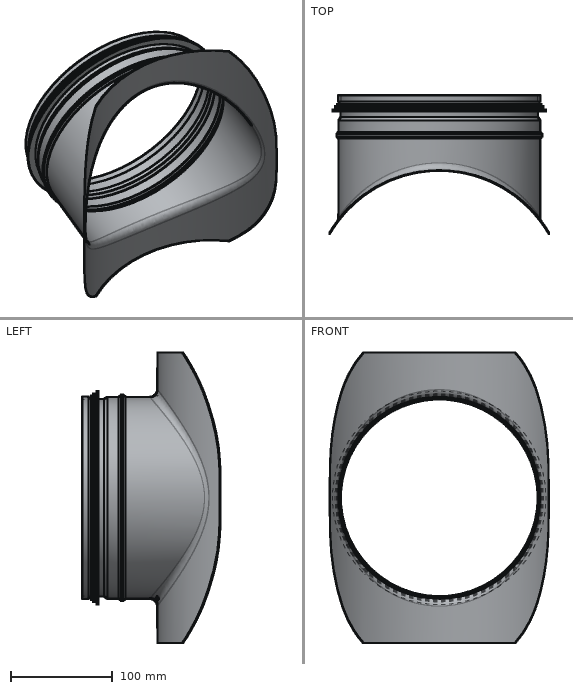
import cadquery as cq
import math

SHEET = 0.5

PLATE_HEIGHT = 285.0
PLATE_WIDTH = 215.0
PLATE_END_WIDTH = 148.8
PIPE_RADIUS = 124.3
PIPE_HALF_LENGTH = 148.2
SIDE_EDGE_POINTS = [(105.7, 55.5), (101.0, 85.5), (92.5, 113.0)]

TOTAL_DEPTH = 136.2
TUBE_RADIUS = 198.0 / 2
NECK_RADIUS = 194.0 / 2
COLLAR_RADIUS = 199.0 / 2
COLLAR_LENGTH = 6.5
COLLAR_CHAMFER = 0.9
NECK_END = 21.7
CONE_END = 25.0
BEAD_START = 36.2
BEAD_END = 43.0
BEAD_RADIUS = 202.4 / 2
BEAD_CREST = 2.0
FLARE_RADIUS = 7.0
SELECTION_MARGIN = 2.8

GASKET_RADIUS = 197.0 / 2
LIP_STEP_RADIUS = 100.3
LIP_STEP_START = 8.8
LIP_RADIUS = 204.3 / 2
LIP_START = 10.8
LIP_END = 12.3
FLANGE_RADIUS = 209.5 / 2
FLANGE_START = 14.5
GASKET_END = 16.5

END_Y = math.sqrt(PIPE_RADIUS**2 - (PLATE_WIDTH / 2)**2) + TOTAL_DEPTH


def revolve_profile(points):
    """Revolve (radius, distance from free end) points about the spigot axis."""
    profile = [(radius, END_Y - distance) for radius, distance in points]
    return cq.Workplane("XY").polyline(profile).close().revolve(360, (0, 0, 0), (0, 1, 0))


def tube_wall(inset):
    """Stepped wall of neck, cone, tube and bead, moved inward by inset, down to the pipe axis."""
    bead_middle = (BEAD_START + BEAD_END) / 2
    wall = [
        (NECK_RADIUS, NECK_END),
        (TUBE_RADIUS, CONE_END),
        (TUBE_RADIUS, BEAD_START),
        (BEAD_RADIUS, bead_middle - BEAD_CREST / 2),
        (BEAD_RADIUS, bead_middle + BEAD_CREST / 2),
        (TUBE_RADIUS, BEAD_END),
        (TUBE_RADIUS, END_Y),
    ]
    return [(radius - inset, distance) for radius, distance in wall]


def filled_branch(pipe_radius, inset, end_points, flare_radius):
    """Pipe and spigot as one filled shape, with the edge where they meet rounded."""
    pipe = cq.Workplane("XY").circle(pipe_radius).extrude(PIPE_HALF_LENGTH, both=True)
    spigot = revolve_profile([(0, 0), *end_points, *tube_wall(inset), (0, END_Y)])
    low_y = math.sqrt(pipe_radius**2 - TUBE_RADIUS**2) - SELECTION_MARGIN
    meeting_zone = cq.selectors.BoxSelector(
        (-PIPE_RADIUS, low_y, -PIPE_RADIUS),
        (PIPE_RADIUS, pipe_radius + SELECTION_MARGIN, PIPE_RADIUS),
        boundingbox=True,
    )
    return pipe.union(spigot).edges(meeting_zone).fillet(flare_radius)


def plate_outline():
    """Prism along Y with straight ends and curved sides that bounds the plate."""
    half_height = PLATE_HEIGHT / 2
    half_end = PLATE_END_WIDTH / 2
    upper = [(half_end, half_height), *reversed(SIDE_EDGE_POINTS)]
    lower = [(x, -z) for x, z in reversed(upper)]
    right_side = [*upper, (PLATE_WIDTH / 2, 0), *lower]
    left_side = [(-x, -z) for x, z in right_side]
    return (
        cq.Workplane("XZ")
        .moveTo(*right_side[0])
        .spline(right_side[1:], includeCurrent=True)
        .lineTo(*left_side[0])
        .spline(left_side[1:], includeCurrent=True)
        .close()
        .extrude(-END_Y)
    )


def make_branch():
    collar = [
        (COLLAR_RADIUS - COLLAR_CHAMFER, 0),
        (COLLAR_RADIUS, COLLAR_CHAMFER),
        (COLLAR_RADIUS, COLLAR_LENGTH),
        (NECK_RADIUS, COLLAR_LENGTH),
    ]
    bore = [(NECK_RADIUS - SHEET, 0)]
    outside = filled_branch(PIPE_RADIUS + SHEET, 0, collar, FLARE_RADIUS)
    inside = filled_branch(PIPE_RADIUS, SHEET, bore, FLARE_RADIUS + SHEET)
    return outside.cut(inside).intersect(plate_outline())


def make_gasket():
    return revolve_profile([
        (NECK_RADIUS, COLLAR_LENGTH),
        (GASKET_RADIUS, COLLAR_LENGTH),
        (GASKET_RADIUS, LIP_STEP_START),
        (LIP_STEP_RADIUS, LIP_STEP_START),
        (LIP_STEP_RADIUS, LIP_START),
        (LIP_RADIUS, LIP_START),
        (LIP_RADIUS, LIP_END),
        (GASKET_RADIUS, LIP_END),
        (GASKET_RADIUS, FLANGE_START),
        (FLANGE_RADIUS, FLANGE_START),
        (FLANGE_RADIUS, GASKET_END),
        (NECK_RADIUS, GASKET_END),
    ])


branch = make_branch()
gasket = make_gasket()
result = cq.Compound.makeCompound([branch.val(), gasket.val()])